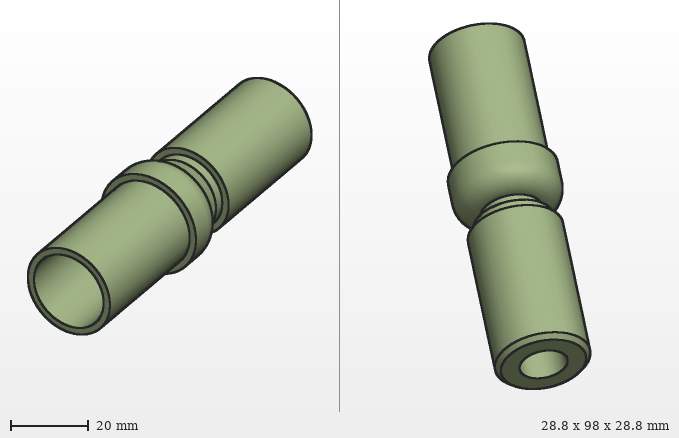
import cadquery as cq
import math

length = 98.0
tube_diameter = 25.0
flange_diameter = 28.8
neck_diameter = 16.3
collar_diameter = 21.2
throat_diameter = 12.5
socket_diameter = 21.2

flange_start = 38.2
flange_width = 6.3
collar_start = 53.8
collar_end = 56.8
end_chamfer = 1.4

neck_radius = neck_diameter / 2
shoulder_start = flange_start + flange_width
shoulder_radius = 6.0
shoulder_top_radius = flange_diameter / 2 - shoulder_radius
shoulder_end = shoulder_start + shoulder_radius

flare_length = 1.6
flare_start = collar_start - flare_length

socket_depth = flange_start
cone_half_angle = 30.0
cone_length = (socket_diameter - throat_diameter) / 2 / math.tan(math.radians(cone_half_angle))
cone_end = socket_depth + cone_length

diagonal = math.cos(math.radians(45))


def revolve_about_y(half_profile):
    return half_profile.close().revolve(360, (0, 0, 0), (0, 1, 0))


def make_body():
    tube_radius = tube_diameter / 2
    flange_radius = flange_diameter / 2
    collar_radius = collar_diameter / 2
    shoulder_middle = (
        shoulder_top_radius + shoulder_radius * diagonal,
        shoulder_start + shoulder_radius * diagonal,
    )
    profile = (
        cq.Workplane("XY")
        .lineTo(tube_radius, 0)
        .lineTo(tube_radius, flange_start)
        .lineTo(flange_radius, flange_start)
        .lineTo(flange_radius, shoulder_start)
        .threePointArc(shoulder_middle, (shoulder_top_radius, shoulder_end))
        .lineTo(neck_radius, shoulder_end)
        .lineTo(neck_radius, flare_start)
        .lineTo(collar_radius, collar_start)
        .lineTo(collar_radius, collar_end)
        .lineTo(tube_radius, collar_end)
        .lineTo(tube_radius, length - end_chamfer)
        .lineTo(tube_radius - end_chamfer, length)
        .lineTo(0, length)
    )
    return revolve_about_y(profile)


def make_bore():
    socket_radius = socket_diameter / 2
    throat_radius = throat_diameter / 2
    profile = (
        cq.Workplane("XY")
        .lineTo(socket_radius, 0)
        .lineTo(socket_radius, socket_depth)
        .lineTo(throat_radius, cone_end)
        .lineTo(throat_radius, length)
        .lineTo(0, length)
    )
    return revolve_about_y(profile)


result = make_body().cut(make_bore())